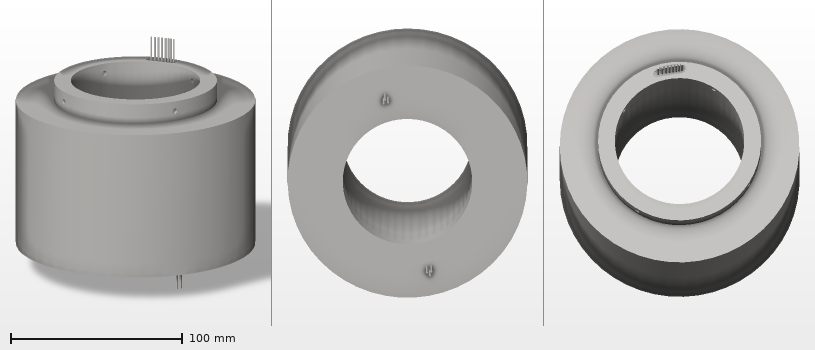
import cadquery as cq
import math

body_diameter = 140.0
body_height = 87.1
neck_diameter = 95.2
neck_height = 11.9
bore_diameter = 75.6
top_z = body_height + neck_height

screw_hole_diameter = 3.1
screw_hole_z = body_height + neck_height / 2

lead_diameter = 1.1
lead_length = 14.0
lead_embed = 1.4

slot_center_x = -27.0
slot_center_y = 32.0
slot_angle = 41.0
slot_length = 18.5
slot_width = 3.9
slot_depth = 0.7
top_lead_count = 8
first_lead_offset = -6.3
first_lead_gap = 2.4
lead_gap_reduction = 0.13

bottom_group_radius = 53.5
bottom_lead_row_spacing = 2.1
bottom_lead_pitch = 2.7


def make_ring():
    body = cq.Workplane("XY").circle(body_diameter / 2).extrude(body_height)
    neck = cq.Workplane("XY").circle(neck_diameter / 2).extrude(top_z)
    bore = cq.Workplane("XY").circle(bore_diameter / 2).extrude(top_z)
    return body.union(neck).cut(bore)


def make_screw_holes():
    along_x = (
        cq.Workplane("YZ")
        .center(0, screw_hole_z)
        .circle(screw_hole_diameter / 2)
        .extrude(neck_diameter / 2, both=True)
    )
    along_y = along_x.rotate((0, 0, 0), (0, 0, 1), 90)
    return along_x.union(along_y)


def make_slot():
    return (
        cq.Workplane("XY", origin=(slot_center_x, slot_center_y, top_z))
        .transformed(rotate=(0, 0, slot_angle))
        .slot2D(slot_length, slot_width)
        .extrude(-slot_depth)
    )


def top_lead_points():
    direction = math.radians(slot_angle)
    offset = first_lead_offset
    points = []
    for index in range(top_lead_count):
        x = slot_center_x + offset * math.cos(direction)
        y = slot_center_y + offset * math.sin(direction)
        points.append((x, y))
        offset += first_lead_gap - index * lead_gap_reduction
    return points


def bottom_lead_points():
    points = []
    for side in (-1, 1):
        inner_x = side * (bottom_group_radius - bottom_lead_row_spacing / 2)
        outer_x = side * (bottom_group_radius + bottom_lead_row_spacing / 2)
        points.append((outer_x, 0))
        points.append((inner_x, bottom_lead_pitch / 2))
        points.append((inner_x, -bottom_lead_pitch / 2))
    return points


def make_leads(points, start_z, end_z):
    return (
        cq.Workplane("XY", origin=(0, 0, start_z))
        .pushPoints(points)
        .circle(lead_diameter / 2)
        .extrude(end_z - start_z)
    )


top_leads = make_leads(top_lead_points(), top_z - slot_depth - lead_embed, top_z + lead_length)
bottom_leads = make_leads(bottom_lead_points(), -lead_length, lead_embed)

result = make_ring().cut(make_screw_holes()).cut(make_slot()).union(top_leads).union(bottom_leads)